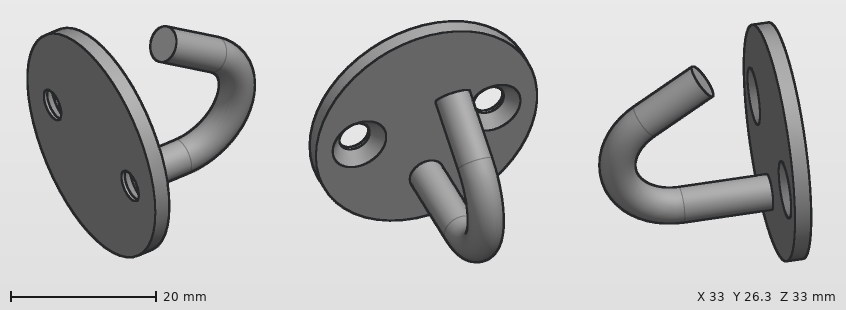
import cadquery as cq
import math

PLATE_DIAMETER = 33.0
PLATE_THICKNESS = 2.3

HOLE_DIAMETER = 4.5
HOLE_SPACING = 20.0
COUNTERSINK_DIAMETER = 8.0
COUNTERSINK_ANGLE = 90.0

ROD_DIAMETER = 5.0
BEND_RADIUS = 8.98
SHANK_LENGTH = 12.47
TIP_LENGTH = 10.0
BEND_ANGLE = 145.0


def make_plate():
    """Disc with two countersunk through holes."""
    disc = cq.Workplane("XZ").circle(PLATE_DIAMETER / 2).extrude(-PLATE_THICKNESS)
    return (
        disc.faces(">Y")
        .workplane(origin=(0, PLATE_THICKNESS, 0))
        .pushPoints([(-HOLE_SPACING / 2, 0), (HOLE_SPACING / 2, 0)])
        .cskHole(HOLE_DIAMETER, COUNTERSINK_DIAMETER, COUNTERSINK_ANGLE)
    )


def make_hook():
    """Rod swept along the shank, round the bend and back along the tip."""
    bend_centre_y = PLATE_THICKNESS + SHANK_LENGTH

    def bend_point(turned):
        """Point (Y, Z) on the rod axis after turning this many degrees."""
        angle = math.radians(turned)
        return (
            bend_centre_y + BEND_RADIUS * math.sin(angle),
            -BEND_RADIUS * math.cos(angle),
        )

    bend_end = bend_point(BEND_ANGLE)
    tip_direction = math.radians(BEND_ANGLE)
    tip_end = (
        bend_end[0] + TIP_LENGTH * math.cos(tip_direction),
        bend_end[1] + TIP_LENGTH * math.sin(tip_direction),
    )
    axis = (
        cq.Workplane("YZ")
        .moveTo(PLATE_THICKNESS, -BEND_RADIUS)
        .lineTo(*bend_point(0))
        .threePointArc(bend_point(BEND_ANGLE / 2), bend_end)
        .lineTo(*tip_end)
    )
    section = cq.Workplane("XZ", origin=(0, PLATE_THICKNESS, -BEND_RADIUS)).circle(ROD_DIAMETER / 2)
    return section.sweep(axis)


result = make_plate().union(make_hook())